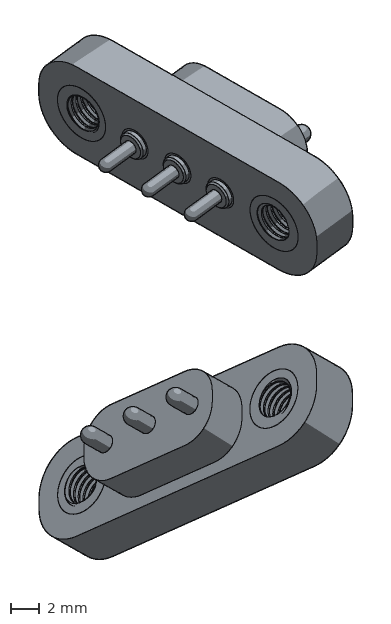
import cadquery as cq
import math

plate_length = 26.0
plate_height = 8.0
plate_thickness = 3.8
plate_corner_radius = 3.55
boss_length = 12.0
boss_height = 6.0
boss_depth = 3.12
boss_corner_radius = 2.57

pin_count = 3
pin_pitch = 4.0
collar_diameter = 2.45
flange_diameter = 2.13
flange_height = 0.47
flange_chamfer = 0.13
front_shank_diameter = 1.05
front_reach = 3.6
rear_shank_diameter = 1.35
rear_reach = 2.3

insert_spacing = 18.0
insert_diameter = 4.5
thread_minor_diameter = 2.75
thread_major_diameter = 3.22
thread_pitch = 0.5
thread_root_width = thread_pitch / 8
thread_half_angle = 30.0
thread_start_angle = -40.0
groove_overlap = 0.05

boss_back = plate_thickness + boss_depth
pin_positions = [(i - (pin_count - 1) / 2) * pin_pitch for i in range(pin_count)]
insert_x = insert_spacing / 2


def rounded_block(length, height, corner_radius, front, back):
    """Block between two Y planes, with its four long corners rounded."""
    return (
        cq.Workplane("XZ", origin=(0, front, 0))
        .rect(length, height)
        .extrude(front - back)
        .edges("|Y")
        .fillet(corner_radius)
    )


def cylinder_y(x, diameter, front, back):
    """Cylinder along Y, between two Y planes."""
    return cq.Workplane("XZ", origin=(x, front, 0)).circle(diameter / 2).extrude(front - back)


def make_housing():
    plate = rounded_block(plate_length, plate_height, plate_corner_radius, 0, plate_thickness)
    boss = rounded_block(boss_length, boss_height, boss_corner_radius, plate_thickness, boss_back)
    body = plate.union(boss)
    for x in pin_positions:
        body = body.cut(cylinder_y(x, collar_diameter, 0, plate_thickness))
        body = body.cut(cylinder_y(x, rear_shank_diameter, plate_thickness, boss_back))
    for x in (-insert_x, insert_x):
        body = body.cut(cylinder_y(x, insert_diameter, 0, plate_thickness))
    return body


def make_pin(x):
    """Round-ended pin, revolved about its own axis; its collar fills the plate bore."""
    front_radius = front_shank_diameter / 2
    rear_radius = rear_shank_diameter / 2
    collar_radius = collar_diameter / 2
    flange_radius = flange_diameter / 2
    front_dome_base = front_radius - front_reach
    rear_tip = boss_back + rear_reach
    rear_dome_base = rear_tip - rear_radius
    diagonal = math.sqrt(0.5)
    return (
        cq.Workplane("XY")
        .moveTo(0, -front_reach)
        .threePointArc(
            (front_radius * diagonal, front_dome_base - front_radius * diagonal),
            (front_radius, front_dome_base),
        )
        .lineTo(front_radius, -flange_height)
        .lineTo(flange_radius - flange_chamfer, -flange_height)
        .lineTo(flange_radius, flange_chamfer - flange_height)
        .lineTo(flange_radius, 0)
        .lineTo(collar_radius, 0)
        .lineTo(collar_radius, plate_thickness)
        .lineTo(rear_radius, plate_thickness)
        .lineTo(rear_radius, rear_dome_base)
        .threePointArc(
            (rear_radius * diagonal, rear_dome_base + rear_radius * diagonal),
            (0, rear_tip),
        )
        .close()
        .revolve(360, (0, 0, 0), (0, 1, 0))
        .translate((x, 0, 0))
    )


def make_thread_groove():
    """Helical V groove with a flat root, about Z, running one pitch past both insert ends."""
    minor_radius = thread_minor_diameter / 2
    major_radius = thread_major_diameter / 2
    inner_radius = minor_radius - groove_overlap
    flank_slope = math.tan(math.radians(thread_half_angle))
    root_half = thread_root_width / 2
    mouth_half = root_half + (major_radius - inner_radius) * flank_slope
    start = -thread_pitch
    helix = cq.Wire.makeHelix(
        thread_pitch, plate_thickness + 2 * thread_pitch, minor_radius, cq.Vector(0, 0, start)
    )
    return (
        cq.Workplane("XZ")
        .polyline(
            [
                (inner_radius, start - mouth_half),
                (major_radius, start - root_half),
                (major_radius, start + root_half),
                (inner_radius, start + mouth_half),
            ]
        )
        .close()
        .sweep(cq.Workplane(helix), isFrenet=True)
    )


def make_insert():
    """Threaded sleeve for the -X end of the plate, made along Z and then turned onto Y."""
    bore = (
        cq.Workplane("XY", origin=(0, 0, -thread_pitch))
        .circle(thread_minor_diameter / 2)
        .extrude(plate_thickness + 2 * thread_pitch)
    )
    sleeve = (
        cq.Workplane("XY")
        .circle(insert_diameter / 2)
        .extrude(plate_thickness)
        .cut(make_thread_groove())
        .cut(bore)
    )
    return (
        sleeve.rotate((0, 0, 0), (0, 0, 1), thread_start_angle)
        .rotate((0, 0, 0), (1, 0, 0), -90)
        .translate((-insert_x, 0, 0))
    )


housing = make_housing()
pins = [make_pin(x) for x in pin_positions]
left_insert = make_insert()
right_insert = left_insert.mirror("YZ")

result = cq.Compound.makeCompound(
    [housing.val(), *[pin.val() for pin in pins], left_insert.val(), right_insert.val()]
)